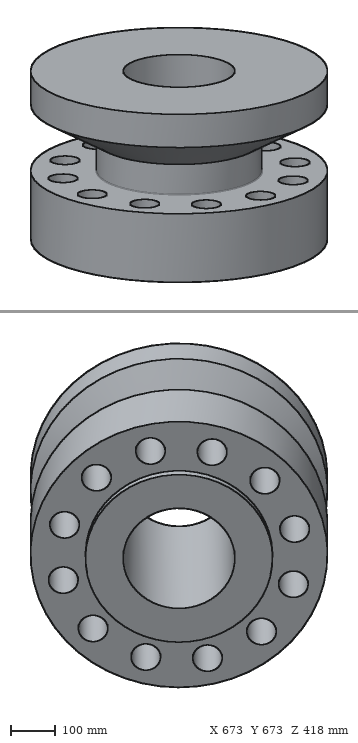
import cadquery as cq
import math

flange_diameter = 673.0
bore_diameter = 253.0
neck_diameter = 375.5
raised_face_diameter = 424.0

raised_face_height = 19.5
flange_thickness = 163.0
neck_height = 71.0
cone_height = 85.5
rim_height = 79.0

neck_fillet_radius = 1.5

hole_count = 12
hole_diameter = 66.5
bolt_circle_diameter = 540.0
first_hole_angle = 0.0

flange_bottom = raised_face_height
flange_top = flange_bottom + flange_thickness
neck_top = flange_top + neck_height
cone_top = neck_top + cone_height
total_height = cone_top + rim_height


def make_body():
    """Revolve the half section around the Z axis."""
    bore_radius = bore_diameter / 2
    neck_radius = neck_diameter / 2
    face_radius = raised_face_diameter / 2
    flange_radius = flange_diameter / 2
    fillet_center_radius = neck_radius + neck_fillet_radius
    fillet_center_height = flange_top + neck_fillet_radius
    fillet_reach = neck_fillet_radius * math.sqrt(0.5)
    fillet_middle = (fillet_center_radius - fillet_reach, fillet_center_height - fillet_reach)
    return (
        cq.Workplane("XZ")
        .moveTo(bore_radius, 0)
        .lineTo(face_radius, 0)
        .lineTo(face_radius, flange_bottom)
        .lineTo(flange_radius, flange_bottom)
        .lineTo(flange_radius, flange_top)
        .lineTo(fillet_center_radius, flange_top)
        .threePointArc(fillet_middle, (neck_radius, fillet_center_height))
        .lineTo(neck_radius, neck_top)
        .lineTo(flange_radius, cone_top)
        .lineTo(flange_radius, total_height)
        .lineTo(bore_radius, total_height)
        .close()
        .revolve(360, (0, 0), (0, 1))
    )


def make_bolt_holes():
    """Cylinders on the bolt circle that reach only through the flange."""
    return (
        cq.Workplane("XY")
        .workplane(offset=flange_bottom)
        .polarArray(bolt_circle_diameter / 2, first_hole_angle, 360, hole_count)
        .circle(hole_diameter / 2)
        .extrude(flange_thickness)
    )


result = make_body().cut(make_bolt_holes())